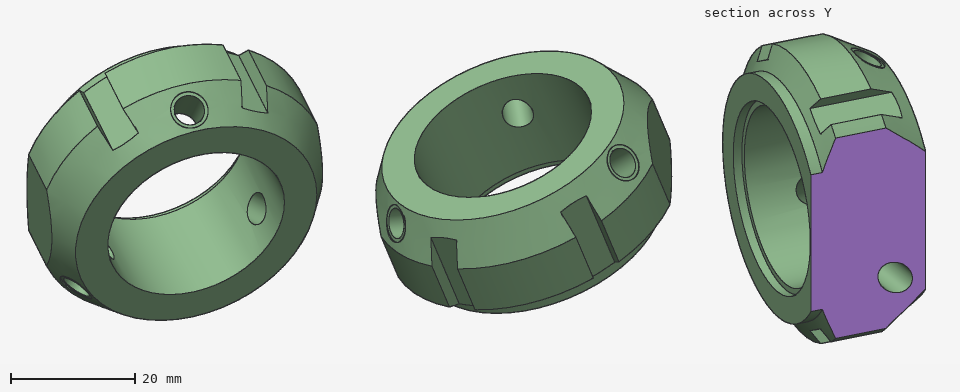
import cadquery as cq
import math

length = 20.0
body_diameter = 49.0
collar_diameter = 41.0
collar_length = 2.0
front_cone_angle = 60.0
rear_cone_angle = 30.0
bore_diameter = 30.0
recess_diameter = 32.0
recess_depth = 1.5
flat_width = 46.0

slot_width = 5.0
slot_floor_radius = 22.0
slot_angles = (30.0, 150.0, 210.0, 330.0)

screw_hole_diameter = 4.92
screw_mouth_diameter = 6.1
screw_mouth_depth = 0.25
screw_hole_count = 3
screw_hole_x = 16.8

body_radius = body_diameter / 2
collar_radius = collar_diameter / 2
shoulder_height = body_radius - collar_radius
front_cone_end = collar_length + shoulder_height / math.tan(math.radians(front_cone_angle))
rear_cone_start = length - shoulder_height / math.tan(math.radians(rear_cone_angle))
screw_mouth_radius = collar_radius + (length - screw_hole_x) * math.tan(math.radians(rear_cone_angle))


def make_body():
    """Collar, two cones and the cylinder between them, turned about X."""
    profile = [
        (0, 0),
        (0, collar_radius),
        (collar_length, collar_radius),
        (front_cone_end, body_radius),
        (rear_cone_start, body_radius),
        (length, collar_radius),
        (length, 0),
    ]
    return cq.Workplane("XY").polyline(profile).close().revolve(360, (0, 0, 0), (1, 0, 0))


def cut_flats(body):
    """Trim the two sides to parallel flats facing -Y and +Y."""
    return body.intersect(
        cq.Workplane("XY").box(length, flat_width, body_diameter, centered=(False, True, True))
    )


def cut_bore(body):
    """Through bore with a shallow recess at the collar end."""
    bore = cq.Workplane("YZ").circle(bore_diameter / 2).extrude(length)
    recess = cq.Workplane("YZ").circle(recess_diameter / 2).extrude(recess_depth)
    return body.cut(bore).cut(recess)


def cut_spanner_slots(body):
    """Flat-floored slots running along X across the rim."""
    slot = (
        cq.Workplane("XY")
        .workplane(offset=slot_floor_radius)
        .rect(2 * length, slot_width)
        .extrude(body_radius)
    )
    for angle in slot_angles:
        body = body.cut(slot.rotate((0, 0, 0), (1, 0, 0), angle))
    return body


def make_screw_cutter(diameter, depth):
    """Cylinder through the top hole mouth, square to the long cone and reaching depth below it."""
    tilt = math.radians(rear_cone_angle)
    outward = cq.Vector(math.sin(tilt), 0, math.cos(tilt))
    mouth = cq.Vector(screw_hole_x, 0, screw_mouth_radius)
    clearance = shoulder_height
    cylinder = cq.Solid.makeCylinder(diameter / 2, depth + clearance, mouth - outward * depth, outward)
    return cq.Workplane(obj=cylinder)


def cut_screw_holes(body):
    """Counterbored holes square to the long cone, evenly spaced and open to the bore."""
    depth_to_axis = screw_mouth_radius / math.cos(math.radians(rear_cone_angle))
    hole = make_screw_cutter(screw_hole_diameter, depth_to_axis)
    counterbore = make_screw_cutter(screw_mouth_diameter, screw_mouth_depth)
    for index in range(screw_hole_count):
        angle = index * 360 / screw_hole_count
        body = body.cut(counterbore.rotate((0, 0, 0), (1, 0, 0), angle))
        body = body.cut(hole.rotate((0, 0, 0), (1, 0, 0), angle))
    return body


result = make_body()
result = cut_flats(result)
result = cut_bore(result)
result = cut_spanner_slots(result)
result = cut_screw_holes(result)